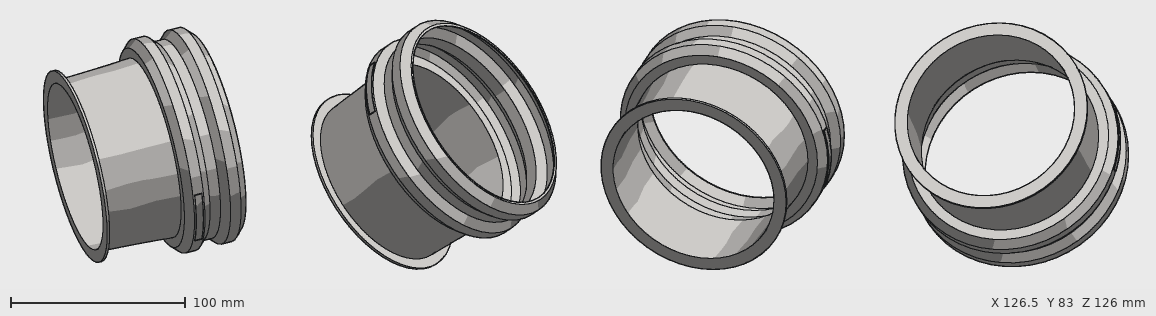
import cadquery as cq
import math

overall_length = 83.0
overall_width = 126.5
wall = 1.5

ridge_diameter = 126.0
groove_diameter = 117.1
bevel_length = 4.5
land_length = 6.3
ridge_count = 2

neck_front_diameter = 100.8
neck_rear_diameter = 105.5
flange_diameter = 112.6

pad_width = 4.3
pad_height = 37.5
pad_root = 0.8

ridge_radius = ridge_diameter / 2
groove_radius = groove_diameter / 2
neck_front_radius = neck_front_diameter / 2
neck_rear_radius = neck_rear_diameter / 2
flange_radius = flange_diameter / 2
bevel_angle = math.atan2(ridge_radius - groove_radius, bevel_length)
ridge_length = 2 * bevel_length + land_length
collar_length = ridge_count * ridge_length + (ridge_count - 1) * land_length
y_front = -overall_length / 2
y_rear = overall_length / 2
y_collar = y_rear - collar_length


def collar_profile(inset):
    """(radius, y) points of the ridged collar, its surface moved inward by inset."""
    shift = inset * math.tan(bevel_angle / 2)
    points = []
    for ridge in range(ridge_count):
        y_ridge = y_collar + ridge * (ridge_length + land_length)
        points += [
            (groove_radius - inset, y_ridge + shift),
            (ridge_radius - inset, y_ridge + bevel_length + shift),
            (ridge_radius - inset, y_ridge + bevel_length + land_length - shift),
            (groove_radius - inset, y_ridge + ridge_length - shift),
        ]
    return points


def make_tube():
    """Thin-walled body of revolution: flange, tapered neck and ridged collar."""
    outer = [
        (flange_radius, y_front),
        (flange_radius, y_front + wall),
        (neck_front_radius, y_front + wall),
        (neck_rear_radius, y_collar),
    ] + collar_profile(0)
    inner = [
        (neck_front_radius - wall, y_front),
        (neck_rear_radius - wall, y_collar + wall),
    ]
    collar_inner = collar_profile(wall)
    bevel_radius, bevel_y = collar_inner[0]
    y_shoulder = y_collar + wall
    shoulder_radius = bevel_radius + (y_shoulder - bevel_y) * math.tan(bevel_angle)
    collar_inner[0] = (shoulder_radius, y_shoulder)
    inner += collar_inner + [(groove_radius - wall, y_rear)]
    profile = cq.Workplane("XY").polyline(outer + inner[::-1]).close()
    return profile.revolve(360, (0, 0, 0), (0, 1, 0))


def make_label_pad():
    """Low curved pad on the +X side of the front ridge."""
    pad_radius = overall_width - ridge_radius
    y_pad = y_collar + bevel_length + land_length / 2
    shell = (
        cq.Workplane("XZ", origin=(0, y_pad, 0))
        .circle(pad_radius)
        .circle(ridge_radius - pad_root)
        .extrude(pad_width / 2, both=True)
    )
    window = cq.Workplane("XY").box(ridge_diameter, overall_length, pad_height)
    return shell.intersect(window.translate((ridge_radius, 0, 0)))


result = make_tube().union(make_label_pad())